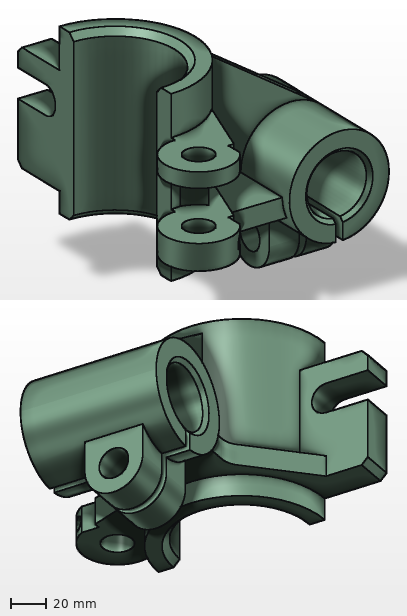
import cadquery as cq
import math

shell_height = 118.3
shell_radius = 55.5
shell_bore_radius = 41.3
shell_chamfer = 4.3

band_bottom = 14.2
band_top = 90.5
flange_thickness = 20.8
bolt_radius = 9.8

flange_end = -96.9
flange_chamfer = 4.0
slot_center_x = -69.2
slot_center_z = 66.5

ear_center_x = 83.0
ear_radius = 23.6
upper_ear_bottom = 80.2
lower_ear_bottom = 27.9
lower_ear_top = 45.4
web_start = (37.2, 41.1)
web_end = (ear_center_x, 24.6)
gap_radius = 28.7
cross_hole_radius = 4.5
cross_hole_angle = 49

tube_radius = 34.8
tube_bore_radius = 20.8
tube_chamfer = 2.6
tube_start = -35.2
tube_end = shell_radius
tube_y = 117.5
tube_z = 28.3
slit_width = 4.9

lug_radius = 19.3
lug_center_z = -17.5
lug_depth = 2 * (tube_bore_radius + tube_chamfer)

plate_top = lower_ear_bottom
plate_left = -27.9
plate_right = 48.5
plate_foot_x = -69.0
plate_fillet = 13.8
rib_width = 14.5
rib_top = 111.1


def half_shell():
    disc = cq.Workplane("XY").circle(shell_radius).extrude(shell_height)
    return disc.intersect(
        cq.Workplane("XY").box(2 * shell_radius, shell_radius, shell_height, centered=(True, False, False))
    )


def shell_bore():
    mouth = shell_bore_radius + shell_chamfer
    return (
        cq.Workplane("XZ")
        .moveTo(0, 0)
        .lineTo(mouth, 0)
        .lineTo(shell_bore_radius, shell_chamfer)
        .lineTo(shell_bore_radius, shell_height - shell_chamfer)
        .lineTo(mouth, shell_height)
        .lineTo(0, shell_height)
        .close()
        .revolve(360, (0, 0, 0), (0, 1, 0))
    )


def slotted_flange():
    flange = (
        cq.Workplane("XY")
        .box(-flange_end, flange_thickness, band_top - band_bottom, centered=False)
        .translate((flange_end, 0, band_bottom))
        .edges("<X and |Y")
        .chamfer(flange_chamfer)
    )
    slot_round = (
        cq.Workplane("XZ")
        .center(slot_center_x, slot_center_z)
        .circle(bolt_radius)
        .extrude(-flange_thickness)
    )
    slot_length = slot_center_x - flange_end
    slot_mouth = (
        cq.Workplane("XY")
        .box(slot_length, flange_thickness, 2 * bolt_radius, centered=(False, False, True))
        .translate((flange_end, 0, slot_center_z))
    )
    return flange.cut(slot_round).cut(slot_mouth)


def hinge_ears():
    height = band_top - lower_ear_bottom
    base = cq.Workplane("XY").workplane(offset=lower_ear_bottom)
    flat_end_x = ear_center_x + math.sqrt(ear_radius**2 - flange_thickness**2)
    web = (
        base.moveTo(0, 0)
        .lineTo(*web_start)
        .lineTo(*web_end)
        .lineTo(ear_center_x, flange_thickness)
        .lineTo(flat_end_x, flange_thickness)
        .lineTo(ear_center_x, 0)
        .close()
        .extrude(height)
    )
    ear_flat = (
        cq.Workplane("XY")
        .box(2 * ear_radius, ear_radius, height, centered=(True, False, False))
        .translate((ear_center_x, flange_thickness, lower_ear_bottom))
    )
    ear = base.center(ear_center_x, 0).circle(ear_radius).extrude(height).cut(ear_flat)
    gap_height = upper_ear_bottom - lower_ear_top
    gap = (
        cq.Workplane("XY")
        .workplane(offset=lower_ear_top)
        .center(ear_center_x, 0)
        .circle(gap_radius)
        .extrude(gap_height)
    )
    gap_rear = (
        cq.Workplane("XY")
        .box(ear_center_x + ear_radius, shell_radius, gap_height, centered=False)
        .translate((0, flange_thickness, lower_ear_top))
    )
    hole = base.center(ear_center_x, 0).circle(bolt_radius).extrude(height)
    cross_hole = cq.Workplane(
        cq.Solid.makeCylinder(
            cross_hole_radius,
            2 * ear_radius,
            pnt=cq.Vector(ear_center_x, 0, (lower_ear_bottom + lower_ear_top) / 2),
            dir=cq.Vector(
                math.cos(math.radians(cross_hole_angle)),
                math.sin(math.radians(cross_hole_angle)),
                0,
            ),
        )
    )
    return web.union(ear).cut(gap).cut(gap_rear).cut(hole).cut(cross_hole)


def plate():
    corner_y = flange_thickness + plate_left - plate_foot_x
    return (
        cq.Workplane("XY")
        .workplane(offset=band_bottom)
        .moveTo(plate_right, 0)
        .lineTo(plate_right, tube_y)
        .lineTo(plate_left, tube_y)
        .lineTo(plate_left, corner_y)
        .lineTo(plate_foot_x, flange_thickness)
        .lineTo(plate_foot_x, 0)
        .close()
        .extrude(plate_top - band_bottom)
        .edges(cq.selectors.NearestToPointSelector((plate_left, corner_y, (band_bottom + plate_top) / 2)))
        .fillet(plate_fillet)
    )


def rib():
    run = tube_y - shell_radius
    rise = rib_top - tube_z
    tangent_angle = math.atan2(rise, -run) - math.acos(tube_radius / math.hypot(run, rise))
    tangent_y = tube_y + tube_radius * math.cos(tangent_angle)
    tangent_z = tube_z + tube_radius * math.sin(tangent_angle)
    return (
        cq.Workplane("YZ")
        .moveTo(0, band_bottom)
        .lineTo(0, rib_top)
        .lineTo(shell_radius, rib_top)
        .lineTo(tangent_y, tangent_z)
        .lineTo(tube_y, tube_z)
        .lineTo(tube_y, band_bottom)
        .close()
        .extrude(rib_width / 2, both=True)
    )


def tube_cylinder(radius):
    return (
        cq.Workplane("YZ")
        .workplane(offset=tube_start)
        .center(tube_y, tube_z)
        .circle(radius)
        .extrude(tube_end - tube_start)
    )


def tube_bore():
    bore = tube_cylinder(tube_bore_radius)
    for face_x, direction in ((tube_start, 1), (tube_end, -1)):
        mouth = cq.Solid.makeCone(
            tube_bore_radius + tube_chamfer,
            tube_bore_radius,
            tube_chamfer,
            pnt=cq.Vector(face_x, tube_y, tube_z),
            dir=cq.Vector(direction, 0, 0),
        )
        bore = bore.union(cq.Workplane(mouth))
    return bore


def clamp_lug():
    back = cq.Workplane("XZ", origin=(0, tube_y + lug_depth / 2, 0))
    return (
        back.moveTo(-lug_radius, tube_z)
        .lineTo(-lug_radius, lug_center_z)
        .threePointArc((0, lug_center_z - lug_radius), (lug_radius, lug_center_z))
        .lineTo(lug_radius, tube_z)
        .close()
        .extrude(lug_depth)
        .cut(back.center(0, lug_center_z).circle(bolt_radius).extrude(lug_depth))
    )


def clamp_slit():
    slit_bottom = lug_center_z - lug_radius
    return (
        cq.Workplane("XY")
        .box(tube_end - tube_start, slit_width, tube_z - slit_bottom, centered=(False, True, False))
        .translate((tube_start, tube_y, slit_bottom))
    )


result = (
    half_shell()
    .union(slotted_flange())
    .union(hinge_ears())
    .union(plate())
    .union(rib())
    .union(tube_cylinder(tube_radius))
    .union(clamp_lug())
    .cut(shell_bore())
    .cut(tube_bore())
    .cut(clamp_slit())
)